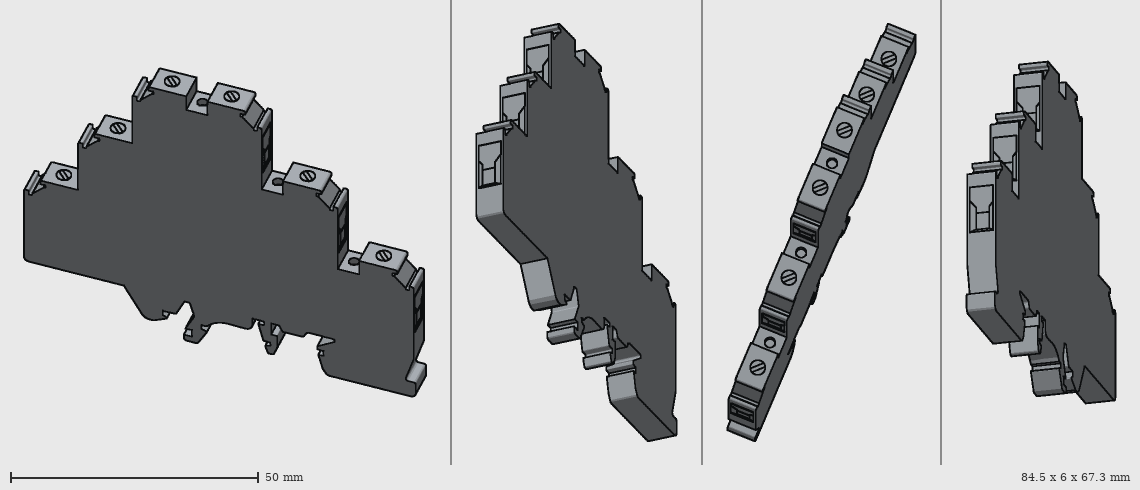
import cadquery as cq
import math

thickness = 6.0
total_height = 67.3
level_pitch = 16.65
base_z = 10.8
left_wall_pitch = 11.7
right_wall_pitch = 16.4
top_wall_right_x = 51.3
levels = range(3)
top_level = 2

gap_width = 4.6
gap_depth = 3.7
bridge_hole_diameter = 2.1
bridge_hole_depth = 1.7

lip_offset = 3.55
lip_thickness = 1.0
groove_reach = 4.65
groove_width = 0.8
groove_mouth = 4.2
lip_radius = 0.5
lip_inner_radius = 0.2
groove_radius = 0.25

step_depth = 0.1
fitting_y = 0.25
screw_diameter = 3.0
screw_slot_width = 0.85
screw_slot_angle = -45
left_screw_inset = 7.4
right_screw_inset = 7.7
entry_width = 4.9
entry_height = 9.7
entry_drop = 6.6
throat_width = 2.8
throat_height = 3.55
funnel_height = 4.5
funnel_slope = 1.2
sill_height = 0.5

foot_ceiling_z = 10.65


def level_top(level):
    return total_height - (top_level - level) * level_pitch


def left_wall(level):
    return level * left_wall_pitch


def right_wall(level):
    return top_wall_right_x + (top_level - level) * right_wall_pitch


def gap_start(level):
    """-X side of the gap beside the +X terminal of a level."""
    if level == top_level:
        centre = (left_wall(level) + right_wall(level)) / 2
        return centre - gap_width / 2
    return right_wall(level + 1)


def terminal_corner(wall_x, top_z, inward):
    """Corner points from the wall up to the level top; inward is +1 or -1 along X."""
    lower_half = [
        (0, lip_offset, lip_radius),
        (lip_thickness, lip_offset, lip_inner_radius),
        (lip_thickness, groove_reach, groove_radius),
        (lip_thickness + groove_width, groove_reach, groove_radius),
        (lip_thickness + groove_width, groove_mouth, 0),
    ]
    upper_half = [(drop, inset, radius) for inset, drop, radius in reversed(lower_half)]
    return [
        (wall_x + inward * inset, top_z - drop, radius)
        for inset, drop, radius in lower_half + upper_half
    ]


def left_steps():
    """Points up the -X side, from the lowest level to the highest."""
    points = []
    for level in levels:
        if level > 0:
            points.append((left_wall(level), level_top(level - 1), 0))
        points += terminal_corner(left_wall(level), level_top(level), 1)
    return points


def right_steps():
    """Points down the +X side, with a gap before each terminal."""
    points = []
    for level in reversed(levels):
        top_z = level_top(level)
        start = gap_start(level)
        floor_z = top_z - gap_depth
        if level == top_level:
            points.append((start, top_z, 0))
        points += [
            (start, floor_z, 0),
            (start + gap_width, floor_z, 0),
            (start + gap_width, top_z, 0),
        ]
        points += reversed(terminal_corner(right_wall(level), top_z, -1))
    return points


fixed_foot = [
    (right_wall(0), base_z, 0),
    (82.1, 4.3, 0.6),
    (84.5, 4.3, 0.5),
    (84.5, 0.25, 1.2),
    (65.4, 0.25, 1.0),
    (64.4, 1.8, 1.3),
    (63.5, 5.3, 0),
    (64.6, 5.3, 0),
    (64.6, 6.6, 0),
    (63.2, 6.8, 0.2),
    (63.2, 7.5, 0.2),
    (68.0, foot_ceiling_z, 0.4),
]
centre_rib = [
    (61.0, foot_ceiling_z, 0.8),
    (60.25, 9.1, 0.6),
    (55.8, 9.1, 0.4),
    (55.0, foot_ceiling_z, 0.25),
]
small_latch = [
    (53.3, foot_ceiling_z, 0),
    (53.3, 7.6, 0),
    (54.6, 7.6, 0.2),
    (54.6, 4.2, 2.5),
    (53.8, 2.2, 0.6),
    (52.65, 2.2, 0.3),
    (52.0, 4.05, 0.1),
    (53.15, 4.4, 0.25),
    (53.15, 5.3, 0.2),
    (51.6, 5.3, 0.4),
    (50.5, 9.6, 0),
    (51.8, 9.6, 0.3),
    (51.8, foot_ceiling_z, 0.25),
]
large_latch = [
    (49.3, foot_ceiling_z, 0),
    (49.3, 7.35, 1.5),
    (41.7, 7.6, 5.9),
    (39.4, 5.3, 0),
    (38.3, 5.3, 0),
    (38.3, 4.3, 0.2),
    (39.55, 3.9, 0.25),
    (37.4, 0, 0.8),
    (34.5, 0, 0.8),
    (34.5, 1.5, 0),
    (36.25, 1.5, 0),
    (36.25, 3.3, 0),
    (34.8, 3.3, 0),
    (36.75, 7.2, 0.7),
    (35.75, foot_ceiling_z, 0.2),
]
end_foot = [
    (34.65, foot_ceiling_z, 0.2),
    (32.8, 6.6, 0.3),
    (29.9, 6.6, 0),
    (29.9, 5.5, 0.2),
    (31.2, 4.9, 0.25),
    (28.0, 3.3, 0),
    (26.0, 3.3, 2.1),
    (21.55, base_z, 0),
    (left_wall(0), base_z, 1.2),
]


def rounded_outline(points):
    """Closed XZ outline whose corners are rounded by tangent arcs where a radius is given."""
    corners = []
    for index, (x, z, radius) in enumerate(points):
        corner = cq.Vector(x, z)
        before = cq.Vector(*points[index - 1][:2])
        after = cq.Vector(*points[(index + 1) % len(points)][:2])
        if radius == 0:
            corners.append((corner,))
            continue
        to_before = (before - corner).normalized()
        to_after = (after - corner).normalized()
        half_angle = to_before.getAngle(to_after) / 2
        setback = radius / math.tan(half_angle)
        bisector = (to_before + to_after).normalized()
        middle = corner + bisector * (radius / math.sin(half_angle) - radius)
        corners.append((corner + to_before * setback, middle, corner + to_after * setback))

    outline = cq.Workplane("XZ").moveTo(*corners[0][-1].toTuple()[:2])
    for corner in corners[1:] + corners[:1]:
        outline = outline.lineTo(*corner[0].toTuple()[:2])
        if len(corner) > 1:
            outline = outline.threePointArc(*(point.toTuple()[:2] for point in corner[1:]))
    return outline.close()


def screw_cut(x, z):
    """Screw head recess with a deeper driver slot."""
    head = cq.Workplane("XY").circle(screw_diameter / 2).extrude(-step_depth)
    slot = (
        cq.Workplane("XY")
        .rect(screw_diameter, screw_slot_width)
        .extrude(-2 * step_depth)
        .rotate((0, 0, 0), (0, 0, 1), screw_slot_angle)
    )
    slot_limit = cq.Workplane("XY").circle(screw_diameter / 2).extrude(-2 * step_depth)
    return head.union(slot.intersect(slot_limit)).translate((x, fitting_y, z))


def bridge_hole_cut(x, z):
    hole = cq.Workplane("XY").circle(bridge_hole_diameter / 2).extrude(-bridge_hole_depth)
    return hole.translate((x, fitting_y, z))


def wire_entry_cut(wall_x, top_z, inward):
    """Rectangular recess, then a funnel, then a throat, each one step deeper."""
    half_width = entry_width / 2
    throat_min = fitting_y - throat_width / 2
    throat_max = fitting_y + throat_width / 2
    throat_bottom = sill_height - entry_height
    throat_centre_z = throat_bottom + throat_height / 2
    recess = cq.Workplane("YZ").center(0, -entry_height / 2).rect(entry_width, entry_height)
    funnel = cq.Workplane("YZ").polyline([
        (-half_width, 0),
        (half_width, 0),
        (half_width, (half_width - throat_max) * funnel_slope - funnel_height),
        (throat_max, -funnel_height),
        (throat_max, throat_bottom),
        (half_width, -entry_height),
        (-half_width, -entry_height),
        (throat_min, throat_bottom),
        (throat_min, -funnel_height),
        (-half_width, (throat_min + half_width) * funnel_slope - funnel_height),
    ]).close()
    throat = cq.Workplane("YZ").center(fitting_y, throat_centre_z).rect(throat_width, throat_height)
    cut = recess.extrude(inward * step_depth)
    cut = cut.union(funnel.extrude(inward * 2 * step_depth))
    cut = cut.union(throat.extrude(inward * 3 * step_depth))
    return cut.translate((wall_x, 0, top_z - entry_drop))


outline_points = (
    left_steps() + right_steps() + fixed_foot + centre_rib + small_latch + large_latch + end_foot
)
body = rounded_outline(outline_points).extrude(thickness / 2, both=True)

for level in levels:
    top_z = level_top(level)
    body = body.cut(screw_cut(left_wall(level) + left_screw_inset, top_z))
    body = body.cut(screw_cut(right_wall(level) - right_screw_inset, top_z))
    body = body.cut(bridge_hole_cut(gap_start(level) + gap_width / 2, top_z - gap_depth))
    body = body.cut(wire_entry_cut(left_wall(level), top_z, 1))
    body = body.cut(wire_entry_cut(right_wall(level), top_z, -1))

result = body